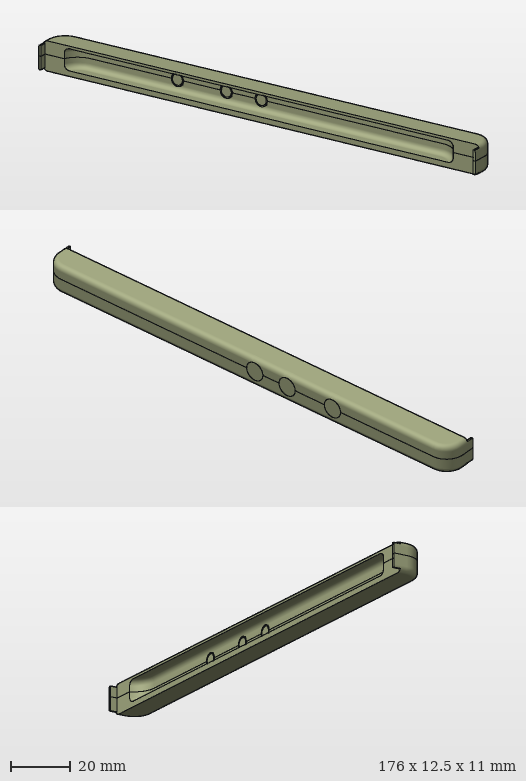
import cadquery as cq
import math

LENGTH = 176.0
UPPER_HEIGHT = 5.0
LOWER_HEIGHT = 6.0
BAR_DEPTH = 9.9
TAB_REACH = 2.6
TAB_THICKNESS = 0.9
TAB_INSET = 1.0
END_RADIUS = 7.0
BACK_FILLET = 2.0

POCKET_HEIGHT = 8.0
POCKET_DEPTH = 5.0
POCKET_FLOOR_LENGTH = 142.0
POCKET_SHIFT = -1.0
POCKET_END_RADIUS = 8.0
POCKET_FILLET = 2.0

PIN_POSITIONS = (-37.1, -17.5, -3.3)
PIN_DIAMETER = 4.0
PIN_BORE_DIAMETER = 5.0
HEAD_DIAMETER = 7.0
HEAD_THICKNESS = 2.5


def block(x_size, y_start, y_end, z_start, z_end):
    """Box centred on X, between the given Y and Z limits."""
    size = (x_size, y_end - y_start, z_end - z_start)
    return cq.Workplane("XY").box(*size, centered=(True, False, False)).translate((0, y_start, z_start))


def cylinder(diameter, x, y_start, y_end):
    """Cylinder along Y, centred on the plane where the shells meet."""
    start_plane = cq.Workplane("XZ", origin=(x, y_start, 0))
    return start_plane.circle(diameter / 2).extrude(y_start - y_end)


def make_outer_form():
    """Rounded bar with pin seats and a thin tab standing forward at each end."""
    half = LENGTH / 2
    bend = END_RADIUS * math.sqrt(0.5)
    arc_x = half - END_RADIUS
    arc_y = BAR_DEPTH - END_RADIUS
    form = (
        cq.Workplane("XY", origin=(0, 0, -LOWER_HEIGHT))
        .moveTo(-half, -TAB_REACH)
        .lineTo(-half, arc_y)
        .threePointArc((-arc_x - bend, arc_y + bend), (-arc_x, BAR_DEPTH))
        .lineTo(arc_x, BAR_DEPTH)
        .threePointArc((arc_x + bend, arc_y + bend), (half, arc_y))
        .lineTo(half, -TAB_REACH)
        .close()
        .extrude(UPPER_HEIGHT + LOWER_HEIGHT)
    )
    for x in PIN_POSITIONS:
        form = form.cut(make_pin_seat(x))
    form = form.faces(">Y").edges("|X").edges(">Z or <Z").fillet(BACK_FILLET)
    between_tabs = block(LENGTH - 2 * TAB_THICKNESS, -TAB_REACH, 0, -LOWER_HEIGHT, UPPER_HEIGHT)
    above_tabs = block(LENGTH, -TAB_REACH, 0, UPPER_HEIGHT - TAB_INSET, UPPER_HEIGHT)
    below_tabs = block(LENGTH, -TAB_REACH, 0, -LOWER_HEIGHT, TAB_INSET - LOWER_HEIGHT)
    return form.cut(between_tabs).cut(above_tabs).cut(below_tabs)


def make_pocket():
    """Trough with curved ends and rounded lower corners, open at the front face."""
    floor_x = POCKET_FLOOR_LENGTH / 2
    centre_y = POCKET_DEPTH - POCKET_END_RADIUS
    bend = POCKET_END_RADIUS * math.sqrt(0.5)
    trough = (
        cq.Workplane("XY", origin=(0, 0, -POCKET_HEIGHT / 2))
        .moveTo(-floor_x - POCKET_END_RADIUS, centre_y)
        .threePointArc((-floor_x - bend, centre_y + bend), (-floor_x, POCKET_DEPTH))
        .lineTo(floor_x, POCKET_DEPTH)
        .threePointArc((floor_x + bend, centre_y + bend), (floor_x + POCKET_END_RADIUS, centre_y))
        .close()
        .extrude(POCKET_HEIGHT)
    )
    trough = trough.faces(">Y").edges("|X").fillet(POCKET_FILLET)
    in_front = block(LENGTH, centre_y, 0, -POCKET_HEIGHT, POCKET_HEIGHT)
    return trough.cut(in_front).translate((POCKET_SHIFT, 0, 0))


def make_pin_seat(x):
    """Clearance bore through the back wall and head recess from the back."""
    bore = cylinder(PIN_BORE_DIAMETER, x, 0, BAR_DEPTH)
    recess = cylinder(HEAD_DIAMETER, x, BAR_DEPTH - HEAD_THICKNESS, BAR_DEPTH)
    return bore.union(recess)


def make_pin(x):
    """Shaft level with the pocket floor, head level with the back."""
    shaft = cylinder(PIN_DIAMETER, x, POCKET_DEPTH, BAR_DEPTH)
    head = cylinder(HEAD_DIAMETER, x, BAR_DEPTH - HEAD_THICKNESS, BAR_DEPTH)
    return shaft.union(head)


def make_shell(z_start, z_end):
    """Part of the pocketed bar between two heights."""
    bar = make_outer_form().cut(make_pocket())
    return bar.intersect(block(LENGTH, -TAB_REACH, BAR_DEPTH, z_start, z_end))


upper_shell = make_shell(0, UPPER_HEIGHT)
lower_shell = make_shell(-LOWER_HEIGHT, 0)
pins = [make_pin(x).val() for x in PIN_POSITIONS]

result = cq.Compound.makeCompound([upper_shell.val(), lower_shell.val(), *pins])